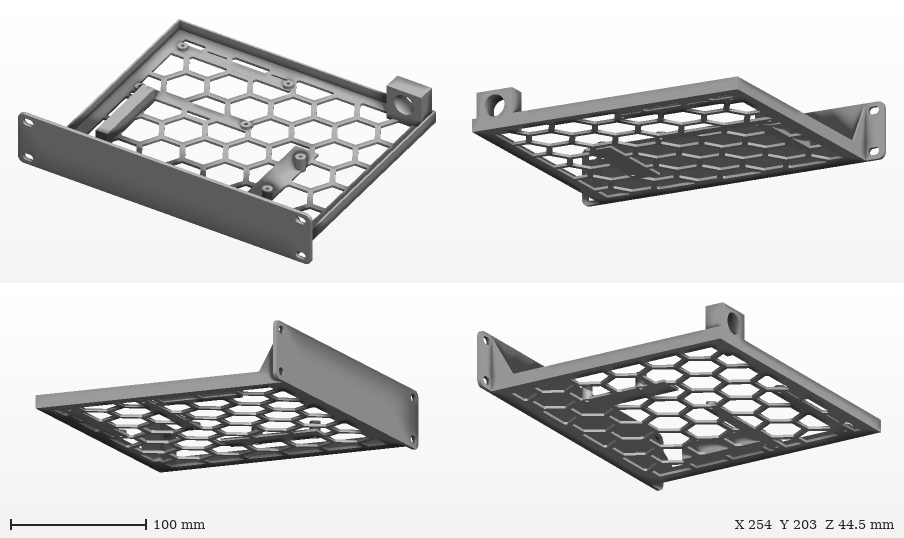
import cadquery as cq
import math

panel_width = 254.0
panel_height = 44.45
panel_thickness = 3.0
panel_corner_radius = 5.0
slot_length = 9.0
slot_height = 6.0
slot_spacing_x = 236.5
slot_spacing_z = 31.75

tray_width = 223.2
tray_depth = 200.0
tray_back = panel_thickness + tray_depth
floor_thickness = 2.0
wall_height = 10.0
wall_thickness = 1.6

gusset_length = 18.4
gusset_drop = 2.0
gusset_top = panel_height - gusset_drop

mesh_width = 200.0
mesh_border = 10.0
mesh_front = panel_thickness + mesh_border
mesh_back = tray_back - mesh_border
cell_pitch = 32.0
cell_corner_diameter = cell_pitch
column_pitch = cell_pitch * math.sqrt(3) / 2
column_count = 8
cell_rows = 8
first_cell_y = -1.0

strip_length = 99.5
strip_width = 10.0
strip_left = -mesh_width / 2
strip_right = strip_left + strip_length
strip_centres_y = (122.3, 182.3)
post_diameter = 8.0
short_posts_x = (-95.6, -4.0)
short_post_top = 4.5
short_post_bore = 2.8

pad_width = 20.0
pad_left = 39.7
pad_front = 43.5
pad_back = 121.3
tall_posts_x = 57.3
tall_posts_y = (52.4, 99.6)
tall_post_top = 12.0
tall_post_bore = 3.0

rib_width = 10.0
rib_left = -89.6
rib_front = 49.0
rib_back = 116.4
rib_top = 12.0

block_width = 30.0
block_depth = 15.0
block_top = 30.0
block_right = 108.0
block_bore = 17.0
block_bore_z = 18.0


def box(x0, x1, y0, y1, z0, z1):
    """Axis-aligned box between the given limits."""
    return cq.Workplane("XY").box(x1 - x0, y1 - y0, z1 - z0, centered=False).translate((x0, y0, z0))


def make_panel():
    """Rack panel with rounded corners and four mounting slots."""
    panel = box(-panel_width / 2, panel_width / 2, 0, panel_thickness, 0, panel_height)
    panel = panel.edges("|Y").fillet(panel_corner_radius)
    slots = (
        cq.Workplane("XZ")
        .center(0, panel_height / 2)
        .rarray(slot_spacing_x, slot_spacing_z, 2, 2)
        .slot2D(slot_length, slot_height)
        .extrude(-panel_thickness)
    )
    return panel.cut(slots)


def make_tray():
    """Open tray: floor, two side walls and a back wall."""
    half = tray_width / 2
    outer = box(-half, half, panel_thickness, tray_back, 0, wall_height)
    inside = box(
        -half + wall_thickness, half - wall_thickness,
        panel_thickness, tray_back - wall_thickness,
        floor_thickness, wall_height,
    )
    return outer.cut(inside)


def make_honeycomb():
    """Hexagonal cutters on a staggered lattice, trimmed to the mesh rectangle."""
    centres = []
    for column in range(column_count):
        x = (column - (column_count - 1) / 2) * column_pitch
        stagger = cell_pitch / 2 * (column % 2)
        for row in range(cell_rows):
            centres.append((x, first_cell_y + stagger + row * cell_pitch))
    cells = (
        cq.Workplane("XY")
        .pushPoints(centres)
        .polygon(6, cell_corner_diameter)
        .extrude(floor_thickness)
    )
    window = box(-mesh_width / 2, mesh_width / 2, mesh_front, mesh_back, 0, floor_thickness)
    return cells.intersect(window)


def make_gusset(left_x):
    """Triangular web standing on a side wall, from left_x along +X."""
    return (
        cq.Workplane("YZ", origin=(left_x, 0, 0))
        .moveTo(panel_thickness, wall_height)
        .lineTo(panel_thickness + gusset_length, wall_height)
        .lineTo(panel_thickness, gusset_top)
        .close()
        .extrude(wall_thickness)
    )


def cylinders(points, diameter, top):
    """Upright cylinders from the underside of the floor to the height top."""
    return cq.Workplane("XY").pushPoints(points).circle(diameter / 2).extrude(top)


def make_block():
    """Corner block, still solid."""
    return box(block_right - block_width, block_right, tray_back - block_depth, tray_back, 0, block_top)


def make_block_bore():
    """Cutter for the bore running through the block along Y."""
    bore_x = block_right - block_width / 2
    return (
        cq.Workplane("XZ", origin=(bore_x, tray_back, block_bore_z))
        .circle(block_bore / 2)
        .extrude(block_depth)
    )


def make_strips():
    """The two solid strips across the honeycomb, flush with the floor."""
    half = strip_width / 2
    strips = cq.Workplane("XY")
    for y in strip_centres_y:
        strips = strips.union(box(strip_left, strip_right, y - half, y + half, 0, floor_thickness))
    return strips


def make_pad():
    """Rectangular pad flush with the floor."""
    return box(pad_left, pad_left + pad_width, pad_front, pad_back, 0, floor_thickness)


def make_rib():
    """Upright rib, a little taller than the tray walls."""
    return box(rib_left, rib_left + rib_width, rib_front, rib_back, 0, rib_top)


result = make_tray().cut(make_honeycomb()).union(make_panel())
for wall_x in (-tray_width / 2, tray_width / 2 - wall_thickness):
    result = result.union(make_gusset(wall_x))

result = result.union(make_strips()).union(make_pad()).union(make_rib())
result = result.union(make_block()).cut(make_block_bore())

short_posts = [(x, y) for x in short_posts_x for y in strip_centres_y]
tall_posts = [(tall_posts_x, y) for y in tall_posts_y]
for centres, top, bore in (
    (short_posts, short_post_top, short_post_bore),
    (tall_posts, tall_post_top, tall_post_bore),
):
    result = result.union(cylinders(centres, post_diameter, top))
    result = result.cut(cylinders(centres, bore, top))